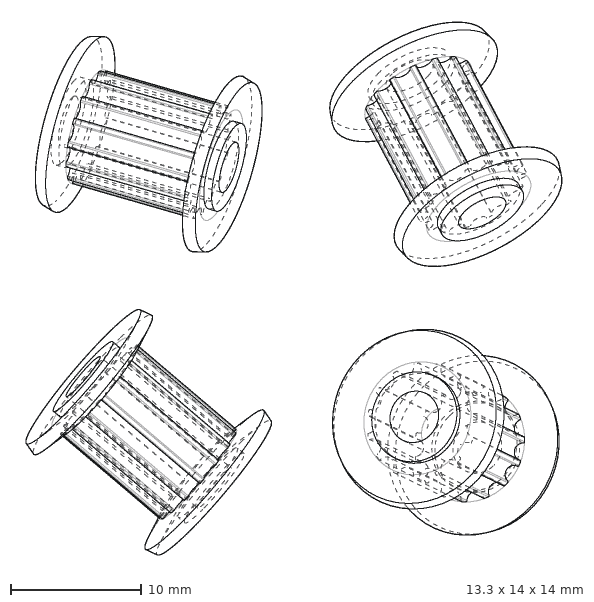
import cadquery as cq
import math

drum_length = 10.0
tooth_count = 15
tooth_tip_radius = 4.52
groove_center_radius = 4.45
groove_radius = 0.675
tooth_tip_rounding = 0.1

flange_radius = 7.0
flange_thickness = 1.0
flange_flat_radius = 4.4
flange_cone_angle = 15.0

hub_radius = 3.5
hub_protrusion = 0.65
bore_diameter = 4.0

tooth_pitch_angle = 360.0 / tooth_count
half_drum = drum_length / 2
flange_outer_x = half_drum + flange_thickness
hub_half_length = flange_outer_x + hub_protrusion
cone_angle = math.radians(flange_cone_angle)


def x_cylinder(radius, length):
    """Cylinder along X, centred on the origin."""
    return cq.Workplane("YZ").circle(radius).extrude(length / 2, both=True)


def toothed_body():
    """Belt drum with round-bottomed grooves, rounded tooth tips and one tooth pointing to -Y."""
    grooves = (
        cq.Workplane("YZ")
        .polarArray(groove_center_radius, 180 + tooth_pitch_angle / 2, 360, tooth_count)
        .circle(groove_radius)
        .extrude(half_drum, both=True)
    )
    drum = x_cylinder(tooth_tip_radius, drum_length).cut(grooves)
    return drum.edges("|X").fillet(tooth_tip_rounding)


def flange():
    """Dished sheet flange on the +X end: a flat ring that flares outward as a cone."""
    inner_bend_radius = flange_flat_radius + flange_thickness * math.tan(cone_angle / 2)
    inner_rim_x = half_drum + (flange_radius - inner_bend_radius) * math.tan(cone_angle)
    outer_rim_x = inner_rim_x + flange_thickness * math.cos(cone_angle)
    outer_rim_radius = flange_radius - flange_thickness * math.sin(cone_angle)
    return (
        cq.Workplane("XY")
        .moveTo(half_drum, 0)
        .lineTo(half_drum, inner_bend_radius)
        .lineTo(inner_rim_x, flange_radius)
        .lineTo(outer_rim_x, outer_rim_radius)
        .lineTo(flange_outer_x, flange_flat_radius)
        .lineTo(flange_outer_x, 0)
        .close()
        .revolve(360, (0, 0, 0), (1, 0, 0))
    )


hub = x_cylinder(hub_radius, 2 * hub_half_length)
bore = x_cylinder(bore_diameter / 2, 2 * hub_half_length)
end_flange = flange()
result = (
    toothed_body()
    .union(end_flange)
    .union(end_flange.mirror("YZ"))
    .union(hub)
    .cut(bore)
)